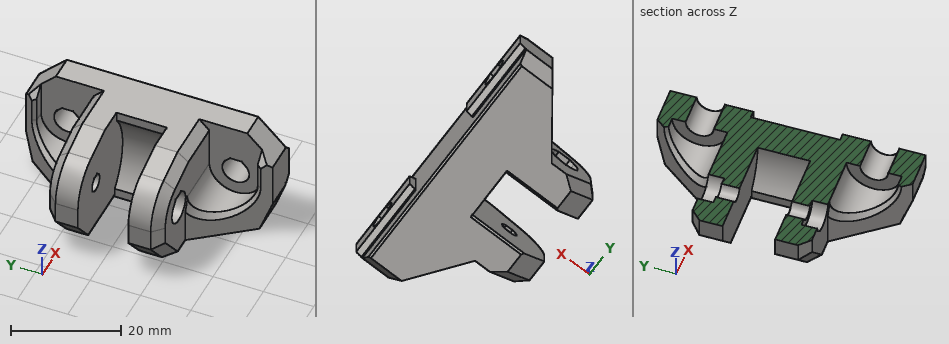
import cadquery as cq
import math

height = 20.0
width = 49.0
body_back = 26.7
plate_front = 21.75
bottom_chamfer = 0.45

corner_cut_z = 5.5
top_corner_cut_y = corner_cut_z
bottom_corner_cut_y = 1.95

lug_outer_half = 11.45
slot_half = 5.0
lug_chamfer = 2.0
pin_x = 8.05
pin_z = 10.45
lug_radius = pin_x
lug_slope_top_x = 12.05
lug_toe_z = 6.05
lug_toe_x = 5.0
slot_radius = 12.0
slot_upper_x = 17.3
slot_lower_x = 16.5
pin_hole_diameter = 3.4
pin_head_diameter = 6.12
pin_head_depth = 3.0

gusset_front_x = 10.95
gusset_end_x = 20.7

pocket_radius = 5.25
pocket_chamfer = 1.0
screw_y = lug_outer_half + pocket_radius
pocket_outer_y = screw_y + pocket_radius
screw_z = height / 2
screw_hole_diameter = 5.35

pad_length = 15.95
pad_height = 8.55
pad_neck = 0.25
pad_chamfer = 1.2
pad_centre_z = height / 2

half_width = width / 2
gusset_slope = (gusset_end_x - gusset_front_x) / (half_width - lug_outer_half)
mouth_wall_x = gusset_front_x + gusset_slope * (pocket_outer_y - lug_outer_half)


def slab_xz(points, y_from, y_to):
    """Prism of an XZ outline between two Y positions."""
    return (
        cq.Workplane("XZ", origin=(0, y_to, 0))
        .polyline(points)
        .close()
        .extrude(y_to - y_from)
    )


def truncated_teardrop(plane, origin, diameter, length):
    """Round hole whose upper part is 45 degree flanks closed by a flat roof at the top of the circle."""
    radius = diameter / 2
    tangent = radius * math.sqrt(0.5)
    roof_half = radius * (math.sqrt(2) - 1)
    return (
        cq.Workplane(plane, origin=origin)
        .moveTo(-tangent, tangent)
        .threePointArc((0, -radius), (tangent, tangent))
        .lineTo(roof_half, radius)
        .lineTo(-roof_half, radius)
        .close()
        .extrude(length)
    )


def make_base():
    """Plate and gussets: plan outline trimmed to the end profile."""
    plan = (
        cq.Workplane("XY")
        .polyline([
            (gusset_front_x, -lug_outer_half),
            (gusset_end_x, -half_width),
            (body_back, -half_width),
            (body_back, half_width),
            (gusset_end_x, half_width),
            (gusset_front_x, lug_outer_half),
        ])
        .close()
        .extrude(height)
    )
    end_profile = (
        cq.Workplane("YZ")
        .polyline([
            (-half_width + bottom_corner_cut_y, 0),
            (half_width - bottom_corner_cut_y, 0),
            (half_width, corner_cut_z),
            (half_width, height - corner_cut_z),
            (half_width - top_corner_cut_y, height),
            (-half_width + top_corner_cut_y, height),
            (-half_width, height - corner_cut_z),
            (-half_width, corner_cut_z),
        ])
        .close()
        .extrude(body_back)
    )
    return plan.intersect(end_profile)


def make_pocket(side):
    """U-shaped screw pocket, open upward."""
    y = side * screw_y
    return (
        cq.Workplane("YZ")
        .moveTo(y - pocket_radius, height)
        .lineTo(y - pocket_radius, screw_z)
        .threePointArc((y, screw_z - pocket_radius), (y + pocket_radius, screw_z))
        .lineTo(y + pocket_radius, height)
        .close()
        .extrude(plate_front)
    )


def flare_pocket_mouths(body):
    """Chamfer the round floor and the outer wall of each pocket where they meet the slanted face."""
    mouth_edges = body.edges("%ELLIPSE")
    for side in (-1, 1):
        wall_point = (mouth_wall_x, side * pocket_outer_y, screw_z + pocket_radius / 2)
        mouth_edges = mouth_edges.add(body.edges(cq.selectors.NearestToPointSelector(wall_point)))
    return mouth_edges.chamfer(pocket_chamfer)


def make_lug_block():
    """Both lugs as one block with chamfered outer edges."""
    slope_dx = lug_slope_top_x - pin_x
    slope_dz = height - pin_z
    corner_distance = math.hypot(slope_dx, slope_dz)
    tangent_angle = math.atan2(slope_dz, slope_dx) + math.acos(lug_radius / corner_distance)
    mid_angle = (tangent_angle + math.pi) / 2

    def on_arc(angle):
        return (pin_x + lug_radius * math.cos(angle), pin_z + lug_radius * math.sin(angle))

    block = (
        cq.Workplane("XZ", origin=(0, lug_outer_half, 0))
        .moveTo(lug_toe_x, 0)
        .lineTo(0, lug_toe_z)
        .lineTo(0, pin_z)
        .threePointArc(on_arc(mid_angle), on_arc(tangent_angle))
        .lineTo(lug_slope_top_x, height)
        .lineTo(plate_front, height)
        .lineTo(plate_front, 0)
        .close()
        .extrude(2 * lug_outer_half)
    )
    outline = block.faces("<Y or >Y").edges("not(<Z or >X)")
    return outline.chamfer(lug_chamfer)


def make_slot():
    """Gap between the lugs: flat lips with a swing groove about the pin axis, flared at the bottom edges."""
    upper_z = pin_z + math.sqrt(slot_radius**2 - (slot_upper_x - pin_x) ** 2)
    lower_z = pin_z - math.sqrt(slot_radius**2 - (slot_lower_x - pin_x) ** 2)
    slot = (
        cq.Workplane("XZ", origin=(0, slot_half, 0))
        .moveTo(0, 0)
        .lineTo(slot_lower_x, 0)
        .lineTo(slot_lower_x, lower_z)
        .threePointArc((pin_x + slot_radius, pin_z), (slot_upper_x, upper_z))
        .lineTo(slot_upper_x, height)
        .lineTo(0, height)
        .close()
        .extrude(2 * slot_half)
    )
    flare = (
        cq.Workplane("YZ")
        .polyline([
            (-slot_half - bottom_chamfer, 0),
            (slot_half + bottom_chamfer, 0),
            (slot_half, bottom_chamfer),
            (-slot_half, bottom_chamfer),
        ])
        .close()
        .extrude(slot_lower_x)
    )
    return slot.union(flare)


def make_pocket_ramp(side):
    """45 degree cut that opens the outer pocket wall toward the end face."""
    ramp_z = height - corner_cut_z + half_width - pocket_outer_y
    run = plate_front - gusset_front_x
    points = [
        (plate_front, ramp_z),
        (plate_front - run, ramp_z - run),
        (plate_front - run, height),
        (plate_front, height),
    ]
    return slab_xz(points, *sorted((side * screw_y, side * half_width)))


def make_pad(side):
    """Locating pad on the rear face, chamfered along its top and bottom edges."""
    half = pad_height / 2
    neck_x = body_back + pad_neck
    back_x = neck_x + pad_chamfer
    points = [
        (body_back, pad_centre_z - half),
        (neck_x, pad_centre_z - half),
        (back_x, pad_centre_z - half + pad_chamfer),
        (back_x, pad_centre_z + half - pad_chamfer),
        (neck_x, pad_centre_z + half),
        (body_back, pad_centre_z + half),
    ]
    return slab_xz(points, *sorted((side * (half_width - pad_length), side * half_width)))


base = make_base()
for side in (-1, 1):
    base = base.cut(make_pocket(side))
base = flare_pocket_mouths(base)
for side in (-1, 1):
    base = base.cut(make_pocket_ramp(side))
lug_space = cq.Workplane("XY").box(plate_front, 2 * lug_outer_half, height, centered=(False, True, False))
base = base.cut(lug_space)

result = base.union(make_lug_block()).cut(make_slot())
result = result.faces(">X").edges("<Z").chamfer(bottom_chamfer)

for side in (-1, 1):
    screw_origin = (0, side * screw_y, screw_z)
    screw_hole = truncated_teardrop("YZ", screw_origin, screw_hole_diameter, 2 * body_back)
    result = result.union(make_pad(side)).cut(screw_hole)

pin_origin = (pin_x, lug_outer_half, pin_z)
result = result.cut(truncated_teardrop("XZ", pin_origin, pin_hole_diameter, 2 * lug_outer_half))
for recess_y in (lug_outer_half, pin_head_depth - lug_outer_half):
    recess_origin = (pin_x, recess_y, pin_z)
    result = result.cut(truncated_teardrop("XZ", recess_origin, pin_head_diameter, pin_head_depth))